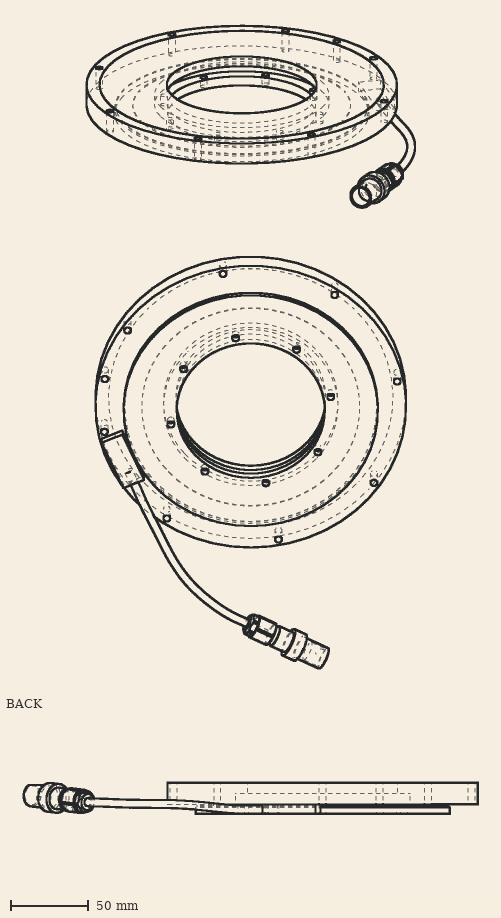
import cadquery as cq
import math

OUTER_RADIUS = 100.0
HEIGHT = 20.2
BASE_RADIUS = 82.0
BASE_EDGE_TOP = 4.0
BASE_SHOULDER_RADIUS = 81.0
BASE_SHOULDER = 4.7
BASE_TOP = 5.3
NECK_RADIUS = 70.2
DISC_BOTTOM = 6.0
BASE_BORE_RADIUS = 47.7
PLATE_BORE_RADIUS = 48.3
RIM_INNER_RADIUS = 91.5
RIM_STEP = 0.15

GROOVE_FLOOR = 6.5
GROOVE_TOP = 13.2
GROOVE_RADIUS = 56.2

HOLE_DIAMETER = 4.5
RIM_HOLE_CIRCLE = 96.0
FLOOR_HOLE_CIRCLE = 52.5
HOLES_PER_CIRCLE = 8
HOLE_PITCH = 360 / HOLES_PER_CIRCLE
EXTRA_HOLE_ANGLE = 2.5 * HOLE_PITCH

BLOCK_ANGLE = -13.0
BLOCK_LENGTH = 35.0
BLOCK_WIDTH = 14.5
BLOCK_START = (3.0, 91.5)
SOCKET_DEPTH = 8.8

CABLE_RADIUS = 2.5
CABLE_Z = 3.0
CABLE_BENDS = [
    (54.5, 80.1, 3.0),
    (71.7, 76.0, 4.5),
    (94.0, 70.8, 6.0),
    (111.5, 64.4, 6.5),
    (129.0, 53.5, 6.7),
    (144.8, 39.2, 7.3),
]

CONNECTOR_START = (151.2, 31.0, 7.5)
CONNECTOR_HEADING = -50.5
CONNECTOR_TILT = 4.5
NUT_LENGTH = 17.5
NUT_RADIUS = 7.5
NUT_GROOVES = 4
FIRST_NUT_GROOVE = 75.0
NUT_GROOVE_WIDTH = 1.2
NUT_GROOVE_DEPTH = 0.5
HEX_LENGTH = 5.3
HEX_FLATS = 13.0
HEX_TURN = 15.0
HEX_CORNER_RADIUS = 7.0
HEX_END_RADIUS = 5.3
HEX_TAPER_LENGTH = 1.8
NECK_END = 20.5
CONNECTOR_NECK_RADIUS = 6.5
BODY_RADIUS = 7.0
COLLAR_START = 30.5
COLLAR_END = 39.0
COLLAR_RADIUS = 9.5
BARREL_RADIUS = 7.3
CONNECTOR_LENGTH = 56.2
MOUTH_RADIUS = 6.0
MOUTH_DEPTH = 11.7
FLAT_LENGTH = 7.5


def heading_vector(heading, tilt=0.0):
    """Unit vector at a heading from +X, raised by a tilt from the XY plane (degrees)."""
    heading, tilt = math.radians(heading), math.radians(tilt)
    return cq.Vector(
        math.cos(tilt) * math.cos(heading),
        math.cos(tilt) * math.sin(heading),
        math.sin(tilt),
    )


def cylinder(start, direction, radius, length):
    return cq.Workplane(obj=cq.Solid.makeCylinder(radius, length, start, direction))


BLOCK_DIRECTION = heading_vector(BLOCK_ANGLE)
BLOCK_EXIT = cq.Vector(*BLOCK_START, CABLE_Z) + BLOCK_DIRECTION * BLOCK_LENGTH
SOCKET_END = BLOCK_EXIT - BLOCK_DIRECTION * SOCKET_DEPTH


def ring_body():
    """Housing cross-section revolved about Z."""
    profile = [
        (BASE_BORE_RADIUS, 0),
        (BASE_RADIUS, 0),
        (BASE_RADIUS, BASE_EDGE_TOP),
        (BASE_SHOULDER_RADIUS, BASE_SHOULDER),
        (BASE_SHOULDER_RADIUS, BASE_TOP),
        (NECK_RADIUS, BASE_TOP),
        (NECK_RADIUS, DISC_BOTTOM),
        (OUTER_RADIUS, DISC_BOTTOM),
        (OUTER_RADIUS, HEIGHT),
        (RIM_INNER_RADIUS, HEIGHT),
        (RIM_INNER_RADIUS, HEIGHT - RIM_STEP),
        (PLATE_BORE_RADIUS, HEIGHT - RIM_STEP),
        (PLATE_BORE_RADIUS, GROOVE_TOP),
        (GROOVE_RADIUS, GROOVE_TOP),
        (GROOVE_RADIUS, GROOVE_FLOOR),
        (BASE_BORE_RADIUS, GROOVE_FLOOR),
    ]
    ring = cq.Workplane("XZ").polyline(profile).close().revolve(360, (0, 0), (0, 1))
    return ring.rotate((0, 0, 0), (0, 0, 1), 180)


def hole_cutters(circle_radius, angles, bottom, top):
    """Vertical cylinders on a circle about Z."""
    points = [
        (circle_radius * math.cos(math.radians(a)), circle_radius * math.sin(math.radians(a)))
        for a in angles
    ]
    return (
        cq.Workplane("XY", origin=(0, 0, bottom)).pushPoints(points)
        .circle(HOLE_DIAMETER / 2).extrude(top - bottom)
    )


def outlet_block():
    """Block that hangs under the disc, flush with the underside of the base."""
    return (
        cq.Workplane("XY").box(BLOCK_LENGTH, BLOCK_WIDTH, DISC_BOTTOM, centered=(False, True, False))
        .rotate((0, 0, 0), (0, 0, 1), BLOCK_ANGLE).translate((*BLOCK_START, 0))
    )


def make_housing():
    even_angles = [i * HOLE_PITCH for i in range(HOLES_PER_CIRCLE)]
    rim_angles = even_angles + [EXTRA_HOLE_ANGLE]
    socket = cylinder(SOCKET_END, BLOCK_DIRECTION, CABLE_RADIUS, SOCKET_DEPTH)
    return (
        ring_body().union(outlet_block())
        .cut(hole_cutters(RIM_HOLE_CIRCLE, rim_angles, DISC_BOTTOM, HEIGHT))
        .cut(hole_cutters(FLOOR_HOLE_CIRCLE, even_angles, 0, GROOVE_FLOOR))
        .cut(socket)
    )


def make_hexagon():
    """Hexagonal end of the clamping nut, tapered towards the cable."""
    hexagon = (
        cq.Workplane("XY").polygon(6, HEX_FLATS, circumscribed=True).extrude(HEX_LENGTH)
        .rotate((0, 0, 0), (0, 0, 1), HEX_TURN)
    )
    envelope = (
        cq.Workplane("XZ")
        .polyline([
            (0, 0),
            (HEX_END_RADIUS, 0),
            (HEX_CORNER_RADIUS, HEX_TAPER_LENGTH),
            (HEX_CORNER_RADIUS, HEX_LENGTH),
            (0, HEX_LENGTH),
        ])
        .close().revolve(360, (0, 0), (0, 1))
    )
    return hexagon.intersect(envelope)


def make_nut():
    """Clamping nut: the hexagonal end and a round grip with lengthwise grooves."""
    grip_length = NUT_LENGTH - HEX_LENGTH
    grip = cq.Workplane("XY", origin=(0, 0, HEX_LENGTH)).circle(NUT_RADIUS).extrude(grip_length)
    grooves = (
        cq.Workplane("XY", origin=(0, 0, HEX_LENGTH))
        .polarArray(NUT_RADIUS, FIRST_NUT_GROOVE, 360, NUT_GROOVES)
        .rect(2 * NUT_GROOVE_DEPTH, NUT_GROOVE_WIDTH).extrude(grip_length)
    )
    return make_hexagon().union(grip.cut(grooves))


def make_connector():
    """Nut, neck, body, collar and open barrel, along Z and then placed at the cable end."""
    steps = [
        (NUT_LENGTH, NECK_END, CONNECTOR_NECK_RADIUS),
        (NECK_END, COLLAR_START, BODY_RADIUS),
        (COLLAR_START, COLLAR_END, COLLAR_RADIUS),
        (COLLAR_END, CONNECTOR_LENGTH, BARREL_RADIUS),
    ]
    connector = make_nut()
    for start, end, radius in steps:
        step = cq.Workplane("XY", origin=(0, 0, start)).circle(radius).extrude(end - start)
        connector = connector.union(step)
    mouth = (
        cq.Workplane("XY", origin=(0, 0, CONNECTOR_LENGTH - MOUTH_DEPTH))
        .circle(MOUTH_RADIUS).extrude(MOUTH_DEPTH)
    )
    connector = connector.cut(mouth)

    axis = heading_vector(CONNECTOR_HEADING, CONNECTOR_TILT)
    sideways = heading_vector(CONNECTOR_HEADING + 90)
    plane = cq.Plane(origin=CONNECTOR_START, xDir=sideways, normal=axis)
    connector = cq.Workplane(obj=connector.val().located(cq.Location(plane)))

    upward = heading_vector(CONNECTOR_HEADING + 180, 90 - CONNECTOR_TILT)
    flat_start = (
        cq.Vector(*CONNECTOR_START) + axis * (CONNECTOR_LENGTH - FLAT_LENGTH) + upward * BARREL_RADIUS
    )
    flat = (
        cq.Workplane("XY")
        .box(2 * FLAT_LENGTH, 2 * BARREL_RADIUS, BARREL_RADIUS, centered=(False, True, False))
        .rotate((0, 0, 0), (0, 0, 1), CONNECTOR_HEADING).translate(flat_start)
    )
    return connector.cut(flat)


def make_cable():
    """Round cable from its socket in the block to the connector, in one piece with it."""
    stub = cylinder(SOCKET_END, BLOCK_DIRECTION, CABLE_RADIUS, SOCKET_DEPTH)
    points = [BLOCK_EXIT] + [cq.Vector(*p) for p in CABLE_BENDS] + [cq.Vector(*CONNECTOR_START)]
    connector_axis = heading_vector(CONNECTOR_HEADING, CONNECTOR_TILT)
    path = cq.Workplane("XY").spline(points, tangents=[BLOCK_DIRECTION, connector_axis])
    section = cq.Plane(origin=BLOCK_EXIT, normal=BLOCK_DIRECTION)
    free_length = cq.Workplane(section).circle(CABLE_RADIUS).sweep(path)
    return stub.union(free_length).union(make_connector())


housing = make_housing()
cable = make_cable()

result = cq.Compound.makeCompound([*housing.solids().vals(), *cable.solids().vals()])